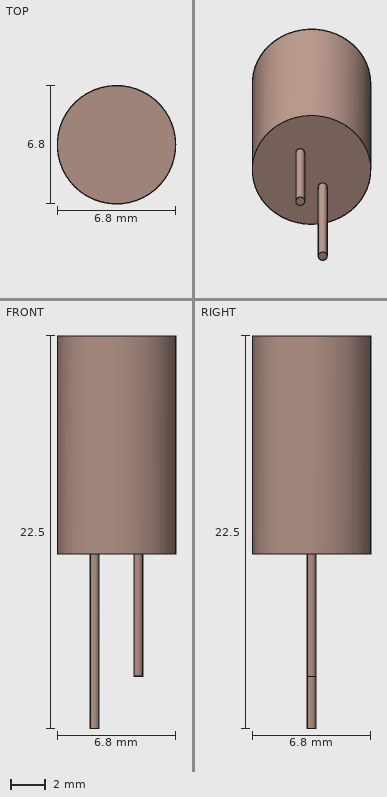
import cadquery as cq

total_length = 22.5
can_diameter = 6.8
long_lead_length = 10.0
short_lead_length = 7.0
lead_diameter = 0.52
lead_pitch = 2.5

can_height = total_length - long_lead_length


def make_can():
    """Plain cylindrical can standing on the plane Z = 0."""
    return cq.Workplane("XY").circle(can_diameter / 2).extrude(can_height)


def make_lead(x, length):
    """Round lead hanging down from the can's flat underside."""
    return cq.Workplane("XY").center(x, 0).circle(lead_diameter / 2).extrude(-length)


can = make_can()

lead_layout = [
    (-lead_pitch / 2, long_lead_length),
    (lead_pitch / 2, short_lead_length),
]
leads = [make_lead(x, length) for x, length in lead_layout]

result = cq.Compound.makeCompound([can.val(), *[lead.val() for lead in leads]])